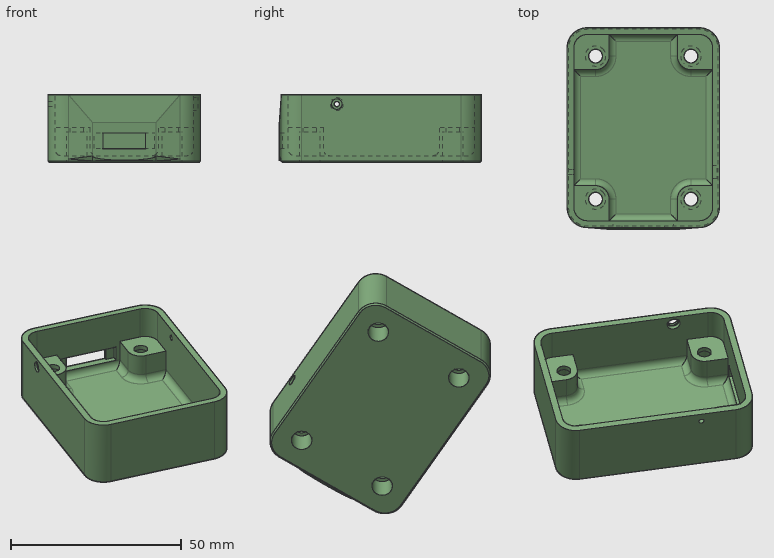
import cadquery as cq

width = 44.75
total_length = 59.25
height = 20.0
wall = 2.0
floor_thickness = 2.0
corner_radius = 6.0
bottom_chamfer = 0.5
floor_fillet = 2.0

panel_rise = 0.6
panel_width = 18.5
panel_top = 11.75
panel_corner_z = 1.95
panel_belly = 1.25
underside_drop = 1.4
underside_end_rise = 0.55

hole_spacing_x = 28.0
hole_spacing_y = 41.95
boss_radius = 4.0
boss_top = 10.4
screw_diameter = 4.0
counterbore_diameter = 6.0
boss_roof = 1.4

window_width = 12.55
window_bottom = 4.0
window_top = 8.65
sill_rise = 0.2
lip_thickness = 1.0
pocket_width = 17.65

side_hole_y = -13.05
side_hole_z = 17.2
small_hole_diameter = 1.5
stepped_hole_diameter = 3.1
stepped_hole_counterbore = 3.8
stepped_counterbore_depth = 1.25

length = total_length - panel_rise
front_y = -length / 2
panel_y = front_y - panel_rise
inner_front_y = front_y + wall
inner_width = width - 2 * wall
inner_length = length - 2 * wall
inner_radius = corner_radius - wall
foot_width = width - 2 * corner_radius
boss_sites = [(sx * hole_spacing_x / 2, sy * hole_spacing_y / 2) for sx in (-1, 1) for sy in (-1, 1)]


def rounded_block(size_x, size_y, radius, bottom, top):
    """Centred block between two heights with rounded upright edges."""
    block = cq.Workplane("XY").workplane(offset=bottom).rect(size_x, size_y).extrude(top - bottom)
    return block.edges("|Z").fillet(radius)


def spanning_block(x_range, y_range, z_range):
    """Block between two limits on each axis."""
    sizes = [high - low for low, high in (x_range, y_range, z_range)]
    return cq.Workplane("XY").box(*sizes, centered=False).translate((x_range[0], y_range[0], z_range[0]))


def boss_column(x, y):
    """Corner boss: its inner corner is rounded about the screw hole, its outer sides run into the walls."""
    reach_x = inner_width / 2 - abs(x) + boss_radius
    reach_y = inner_length / 2 - abs(y) + boss_radius
    block = cq.Workplane("XY").box(reach_x, reach_y, boss_top - floor_thickness, centered=False)
    block = block.edges("|Z and <X and <Y").fillet(boss_radius)
    block = block.translate((abs(x) - boss_radius, abs(y) - boss_radius, floor_thickness))
    if x < 0:
        block = block.mirror("YZ")
    if y < 0:
        block = block.mirror("XZ")
    return block


def make_cavity():
    """Inside space of the box, with its floor edges rounded around walls and bosses."""
    upper = rounded_block(inner_width, inner_length, inner_radius, boss_top, height)
    lower = rounded_block(inner_width, inner_length, inner_radius, floor_thickness, boss_top)
    for x, y in boss_sites:
        lower = lower.cut(boss_column(x, y))
    return lower.faces("<Z").edges().fillet(floor_fillet).union(upper)


def make_panel():
    """Flat-topped bulge sloping back to the front wall, with a scooped underside."""
    foot_height = height - bottom_chamfer
    flat_bottom = panel_corner_z - panel_belly
    flat_height = panel_top - flat_bottom
    foot_centre = (height + bottom_chamfer) / 2
    flat_centre = (panel_top + flat_bottom) / 2
    bulge = (
        cq.Workplane("XZ", origin=(0, front_y, 0))
        .center(0, foot_centre).rect(foot_width, foot_height)
        .workplane(offset=panel_rise)
        .center(0, flat_centre - foot_centre).rect(panel_width, flat_height)
        .loft(ruled=True)
    )
    half_panel = panel_width / 2
    half_foot = foot_width / 2
    end_z = panel_corner_z + underside_end_rise
    scoop_floor = -2 * underside_drop
    profile = (
        cq.Workplane("XZ", origin=(0, panel_y, 0))
        .moveTo(-half_foot, scoop_floor)
        .lineTo(-half_foot, end_z)
        .lineTo(-half_panel, panel_corner_z)
        .ellipseArc(half_panel, panel_belly, 180, 360, startAtCurrent=True)
        .lineTo(half_foot, end_z)
        .lineTo(half_foot, scoop_floor)
        .close()
    )
    sweep = cq.Vector(0, panel_rise, -underside_drop)
    scoop = cq.Solid.extrudeLinear(profile.val(), [], sweep)
    return bulge.cut(cq.Workplane(scoop))


def cut_screw_holes(body):
    """Screw hole through each boss, counterbored from the underside up to the boss roof."""
    sites = cq.Workplane("XY").pushPoints(boss_sites)
    holes = sites.circle(screw_diameter / 2).extrude(boss_top)
    counterbore_depth = boss_top - boss_roof
    bores = sites.circle(counterbore_diameter / 2).extrude(counterbore_depth)
    return body.cut(holes).cut(bores)


def cut_window(body):
    """Window with a sill that rises then runs level, backed by a wider pocket that thins the wall."""
    lip_y = panel_y + lip_thickness
    sill_top = window_bottom + sill_rise
    window = (
        cq.Workplane("YZ", origin=(-window_width / 2, 0, 0))
        .moveTo(panel_y, window_bottom)
        .lineTo(front_y, sill_top)
        .lineTo(lip_y, sill_top)
        .lineTo(lip_y, window_top)
        .lineTo(panel_y, window_top)
        .close()
        .extrude(window_width)
    )
    half_pocket = pocket_width / 2
    pocket = spanning_block((-half_pocket, half_pocket), (lip_y, inner_front_y), (sill_top, window_top))
    return body.cut(window).cut(pocket)


def cut_side_holes(body):
    """Small plain hole in the left wall and a hole counterbored from inside in the right wall."""

    def bore(start_x, diameter, depth):
        plane = cq.Workplane("YZ", origin=(start_x, side_hole_y, side_hole_z))
        return plane.circle(diameter / 2).extrude(depth)

    body = body.cut(bore(-width / 2, small_hole_diameter, wall))
    body = body.cut(bore(inner_width / 2, stepped_hole_diameter, wall))
    return body.cut(bore(inner_width / 2, stepped_hole_counterbore, stepped_counterbore_depth))


shell = rounded_block(width, length, corner_radius, 0, height).faces("<Z").edges().chamfer(bottom_chamfer)
shell = shell.union(make_panel()).cut(make_cavity())
shell = cut_screw_holes(shell)
shell = cut_window(shell)
result = cut_side_holes(shell)